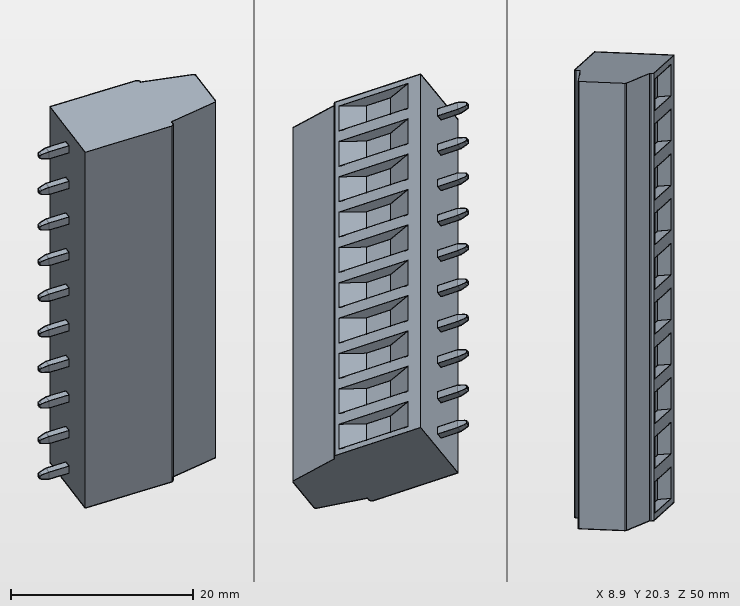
import cadquery as cq

POLE_COUNT = 10
PITCH = 5.0
BODY_WIDTH = 8.9
BODY_DEPTH = 16.8
PIN_LENGTH = 3.5

SHOULDER_Y = 10.85
SHOULDER_CHAMFER = 0.25
NECK_LEFT_X = -4.0
NECK_RIGHT_X = 3.75
BACK_LEFT_X = -2.65
BACK_RIGHT_X = 2.7
BACK_EDGE_CHAMFER = 0.12

ENTRY_FRONT_Y = 1.55
ENTRY_BACK_Y = 10.1
ENTRY_HEIGHT = 3.5
FLOOR_FRONT_Y = 4.2
FLOOR_BACK_Y = 7.2
FLOOR_HEIGHT = 2.8
ENTRY_DEPTH = 0.95

PIN_WIDTH = 0.8
PIN_HEIGHT = 1.0
PIN_TAPER_LENGTH = 1.05
PIN_TIP_LENGTH = 0.22
PIN_TIP_HEIGHT = 0.6
PIN_END_HEIGHT = 0.35
PIN_END_WIDTH = 0.5
PIN_ROOT = 1.0

BODY_HEIGHT = POLE_COUNT * PITCH
HALF_WIDTH = BODY_WIDTH / 2


def make_housing():
    """Shouldered housing profile extruded along the row of poles."""
    chamfer_y = SHOULDER_Y - SHOULDER_CHAMFER
    chamfer_x = HALF_WIDTH - SHOULDER_CHAMFER
    profile = [
        (-HALF_WIDTH, 0),
        (HALF_WIDTH, 0),
        (HALF_WIDTH, chamfer_y),
        (chamfer_x, SHOULDER_Y),
        (NECK_RIGHT_X, SHOULDER_Y),
        (BACK_RIGHT_X, BODY_DEPTH),
        (BACK_LEFT_X, BODY_DEPTH),
        (NECK_LEFT_X, SHOULDER_Y),
        (-chamfer_x, SHOULDER_Y),
        (-HALF_WIDTH, chamfer_y),
    ]
    housing = cq.Workplane("XY").polyline(profile).close().extrude(BODY_HEIGHT)
    return housing.faces(">Y").edges("|Z").chamfer(BACK_EDGE_CHAMFER)


def make_entry(z):
    """Funnel narrowing from its mouth in the -X face to a smaller flat floor."""
    mouth_y = (ENTRY_FRONT_Y + ENTRY_BACK_Y) / 2
    floor_y = (FLOOR_FRONT_Y + FLOOR_BACK_Y) / 2
    return (
        cq.Workplane("YZ", origin=(-HALF_WIDTH, mouth_y, z))
        .rect(ENTRY_BACK_Y - ENTRY_FRONT_Y, ENTRY_HEIGHT)
        .workplane(offset=ENTRY_DEPTH)
        .center(floor_y - mouth_y, 0)
        .rect(FLOOR_BACK_Y - FLOOR_FRONT_Y, FLOOR_HEIGHT)
        .loft(ruled=True)
    )


def mirrored_outline(plane, half_profile):
    """Closed outline from (along, half size) points reflected about the pin axis."""
    mirrored = [(along, -half_size) for along, half_size in reversed(half_profile)]
    return plane.polyline(half_profile + mirrored).close()


def make_pin(z):
    """Rectangular pin tapering in width, and in two steps in height, to its end."""
    taper_y = PIN_TAPER_LENGTH - PIN_LENGTH
    tip_y = PIN_TIP_LENGTH - PIN_LENGTH
    height_profile = [
        (PIN_ROOT, PIN_HEIGHT / 2),
        (taper_y, PIN_HEIGHT / 2),
        (tip_y, PIN_TIP_HEIGHT / 2),
        (-PIN_LENGTH, PIN_END_HEIGHT / 2),
    ]
    width_profile = [
        (PIN_ROOT, PIN_WIDTH / 2),
        (taper_y, PIN_WIDTH / 2),
        (-PIN_LENGTH, PIN_END_WIDTH / 2),
    ]
    side_plane = cq.Workplane("YZ", origin=(0, 0, z))
    level_plane = cq.Workplane(cq.Plane(origin=(0, 0, z), xDir=(0, 1, 0), normal=(0, 0, 1)))
    side_shape = mirrored_outline(side_plane, height_profile).extrude(PIN_WIDTH, both=True)
    level_shape = mirrored_outline(level_plane, width_profile).extrude(PIN_HEIGHT, both=True)
    return side_shape.intersect(level_shape)


result = make_housing()
for pole in range(POLE_COUNT):
    pole_z = (pole + 0.5) * PITCH
    result = result.cut(make_entry(pole_z)).union(make_pin(pole_z))